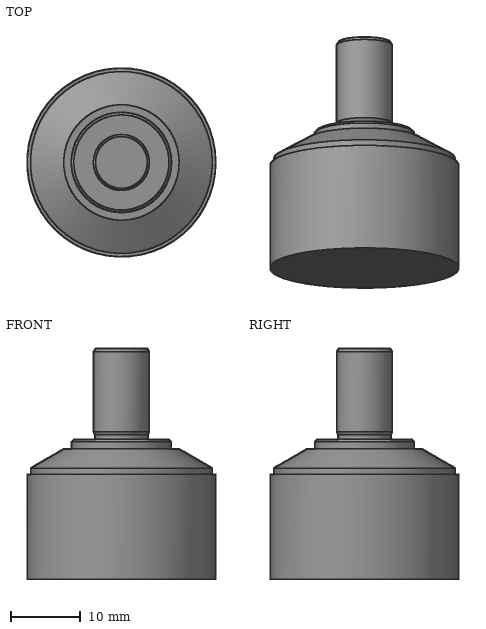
import cadquery as cq
import math

housing_diameter = 27.0
housing_height = 15.0

seat_depth = 3.0
seat_z = housing_height - seat_depth

cap_diameter = 26.0
cap_band_exposed_height = 0.92
cap_top_diameter = 16.5
cap_cone_angle = 30.0
cap_bore_diameter = 14.35
cap_cone_height = (cap_diameter - cap_top_diameter) / 2 * math.tan(math.radians(cap_cone_angle))

collar_diameter = 14.3
collar_top_z = 20.0
collar_chamfer = 0.35
neck_diameter = 7.61
neck_height = 0.67
neck_taper_height = 0.45
shank_diameter = 8.0
shank_top_z = 33.01
tip_chamfer_width = 0.3
tip_chamfer_height = 0.45


def make_housing():
    """Make the base cylinder and sink the seat for the cap and the stud into its top."""
    base = cq.Workplane("XY").circle(housing_diameter / 2).extrude(housing_height)
    seat = cq.Workplane("XY").workplane(offset=seat_z).circle(cap_diameter / 2).extrude(seat_depth)
    return base.cut(seat)


def make_cap():
    """Revolve the cap's wall section about Z, leaving the collar bore open."""
    bore_radius = cap_bore_diameter / 2
    cone_base_z = housing_height + cap_band_exposed_height
    cap_top_z = cone_base_z + cap_cone_height
    section = [
        (bore_radius, seat_z),
        (cap_diameter / 2, seat_z),
        (cap_diameter / 2, cone_base_z),
        (cap_top_diameter / 2, cap_top_z),
        (bore_radius, cap_top_z),
    ]
    return cq.Workplane("XZ").polyline(section).close().revolve(360, (0, 0), (0, 1))


def make_stud():
    """Revolve the collar, relief neck and shank as one half section about Z."""
    collar_radius = collar_diameter / 2
    neck_radius = neck_diameter / 2
    shank_radius = shank_diameter / 2
    neck_top_z = collar_top_z + neck_height
    section = [
        (0, seat_z),
        (collar_radius, seat_z),
        (collar_radius, collar_top_z - collar_chamfer),
        (collar_radius - collar_chamfer, collar_top_z),
        (neck_radius, collar_top_z),
        (neck_radius, neck_top_z),
        (shank_radius, neck_top_z + neck_taper_height),
        (shank_radius, shank_top_z - tip_chamfer_height),
        (shank_radius - tip_chamfer_width, shank_top_z),
        (0, shank_top_z),
    ]
    return cq.Workplane("XZ").polyline(section).close().revolve(360, (0, 0), (0, 1))


housing = make_housing()
cap = make_cap()
stud = make_stud()

result = cq.Compound.makeCompound([housing.val(), cap.val(), stud.val()])